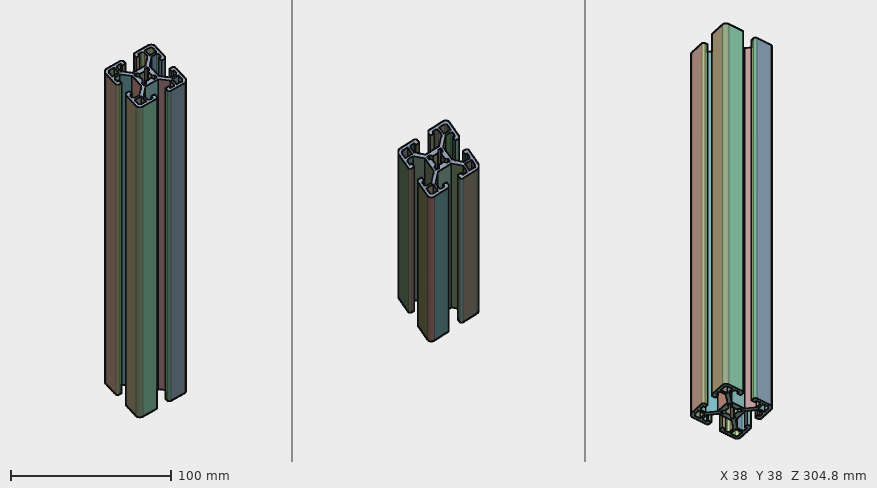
import cadquery as cq

length = 304.8
width = 38.0
corner_radius = 3.0

wall = 2.0
mouth_width = 8.2
lip_depth = 3.7
lip_thickness = 2.7
lip_radius = 1.5

slot_width = 20.7
slot_corner_radius = 1.2
tube_wall = 1.5
cavity_outer_radius = 1.5

core_width = 13.7
core_wall = 1.8
arm_offset = 1.8

pad_gap = 6.7
pad_base_width = 6.0
pad_tip_width = 3.7

half_width = width / 2
wall_inside = half_width - wall
half_mouth = mouth_width / 2
half_slot = slot_width / 2
half_core = core_width / 2


def outer_bar():
    bar = cq.Workplane("XY").rect(width, width).extrude(length)
    return bar.edges("|Z").fillet(corner_radius)


def slot_cutter():
    """T-slot opening on the +Y side, with rounded mouth edges."""
    lip_back = half_mouth + lip_thickness
    round_start = half_width - lip_radius
    right_side = [
        (half_core - arm_offset, half_core),
        (half_slot, half_slot + arm_offset),
        (half_slot, wall_inside - slot_corner_radius),
    ]
    right_lip = [
        (half_slot - slot_corner_radius, wall_inside),
        (lip_back, wall_inside),
        (lip_back, half_width - lip_depth),
        (half_mouth, half_width - lip_depth),
        (half_mouth, round_start),
    ]
    left_side = [(-x, y) for x, y in reversed(right_side)]
    left_lip = [(-x, y) for x, y in reversed(right_lip)]
    return (
        cq.Workplane("XY")
        .polyline(right_side)
        .radiusArc(right_lip[0], -slot_corner_radius)
        .polyline(right_lip, includeCurrent=False)
        .radiusArc((half_mouth + lip_radius, half_width), lip_radius)
        .lineTo(-half_mouth - lip_radius, half_width)
        .radiusArc(left_lip[0], lip_radius)
        .polyline(left_lip)
        .radiusArc(left_side[0], -slot_corner_radius)
        .polyline(left_side)
        .close()
        .extrude(length)
    )


def tube_cavity():
    """Hollow of the corner tube at +X +Y, rounded at its outer corner."""
    cavity_start = half_slot + tube_wall
    size = wall_inside - cavity_start
    return (
        cq.Workplane("XY")
        .moveTo(cavity_start, cavity_start)
        .rect(size, size, centered=False)
        .extrude(length)
        .edges("|Z and >(1, 1, 0)")
        .fillet(cavity_outer_radius)
    )


def core_pad():
    """Tapered pad that stands inward from the +Y core wall."""
    pad_base = half_core - core_wall
    outline = [
        (-pad_base_width / 2, pad_base),
        (pad_base_width / 2, pad_base),
        (pad_tip_width / 2, pad_gap / 2),
        (-pad_tip_width / 2, pad_gap / 2),
    ]
    return cq.Workplane("XY").polyline(outline).close().extrude(length)


def turned(body, angle):
    """Body turned about the bar's axis."""
    return body.rotate((0, 0, 0), (0, 0, 1), angle)


core_opening_width = core_width - 2 * core_wall
core_opening = cq.Workplane("XY").rect(core_opening_width, core_opening_width).extrude(length)

result = outer_bar()
for angle in (0, 90, 180, 270):
    result = result.cut(turned(slot_cutter(), angle))
    result = result.cut(turned(tube_cavity(), angle))
    core_opening = core_opening.cut(turned(core_pad(), angle))

result = result.cut(core_opening)